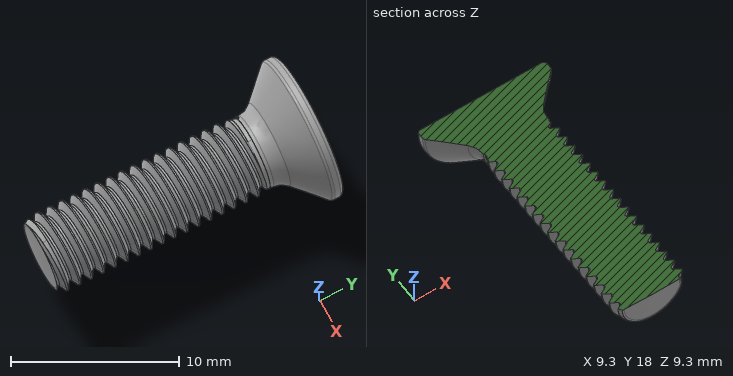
import cadquery as cq
import math


length = 18.0
head_diameter = 9.3
thread_diameter = 5.0

rim_height = 0.72
rim_fillet = 0.25
neck_diameter = 4.73
neck_fillet = 1.3

neck_end = 3.78
start_diameter = 4.66
taper_start = 4.05
taper_end = 4.59
tip_diameter = 4.4
tip_chamfer_angle = 30.0
tip_point_diameter = 4.1
tip_point_height = 0.04

pitch = 0.16 * thread_diameter
root_diameter = 4.05
flank_angle = 30.0
crest_flat = pitch / 8
cutter_overhang = 0.04
thread_turns = 18
groove_end = 4.23
runout_turns = 0.6
runout_lift = 0.3

head_radius = head_diameter / 2
neck_radius = neck_diameter / 2
start_radius = start_diameter / 2
thread_radius = thread_diameter / 2
tip_radius = tip_diameter / 2
tip_point_radius = tip_point_diameter / 2
root_radius = root_diameter / 2
thread_depth = thread_radius - root_radius
flank_slope = math.tan(math.radians(flank_angle))


def make_blank():
    """Revolved screw without thread: 45 degree head cone, neck, shank and chamfered tip."""
    cone_end = rim_height + head_radius - neck_radius
    tip_face = length - tip_point_height
    chamfer_height = (thread_radius - tip_radius) / math.tan(math.radians(tip_chamfer_angle))
    blank = (
        cq.Workplane("XZ")
        .moveTo(0, 0)
        .lineTo(head_radius, 0)
        .lineTo(head_radius, -rim_height)
        .lineTo(neck_radius, -cone_end)
        .lineTo(neck_radius, -neck_end)
        .lineTo(start_radius, -neck_end)
        .lineTo(start_radius, -taper_start)
        .lineTo(thread_radius, -taper_end)
        .lineTo(thread_radius, chamfer_height - tip_face)
        .lineTo(tip_radius, -tip_face)
        .lineTo(tip_point_radius, -tip_face)
        .lineTo(0, -length)
        .close()
        .revolve(360, (0, 0), (0, 1))
    )
    rim_edges = cq.selectors.RadiusNthSelector(-1)
    neck_corner = cq.selectors.BoxSelector(
        (-head_radius, -head_radius, -cone_end - 0.18),
        (head_radius, head_radius, -cone_end + 0.18),
        boundingbox=True,
    )
    blank = blank.edges(rim_edges).fillet(rim_fillet)
    blank = blank.edges(neck_corner).fillet(neck_fillet)
    return blank.val().rotate(cq.Vector(0, 0, 0), cq.Vector(0, 0, 1), -90)


def sweep_groove(helix):
    """Groove cutter that starts on +X at the groove end and follows the helix."""
    root_half = (pitch - crest_flat) / 2 - thread_depth * flank_slope
    outer_radius = thread_radius + cutter_overhang
    outer_half = root_half + (outer_radius - root_radius) * flank_slope
    profile = (
        cq.Workplane("XZ")
        .moveTo(root_radius, -groove_end - root_half)
        .lineTo(outer_radius, -groove_end - outer_half)
        .lineTo(outer_radius, -groove_end + outer_half)
        .lineTo(root_radius, -groove_end + root_half)
        .close()
    )
    return profile.sweep(cq.Workplane(obj=helix), isFrenet=True).val()


def make_groove_turns():
    """Full-depth groove as single turns, listed from the head end to past the tip."""
    helix = cq.Wire.makeHelix(pitch, pitch, root_radius, cq.Vector(0, 0, -groove_end))
    one_turn = sweep_groove(helix)
    return [one_turn.translate(cq.Vector(0, 0, -n * pitch)) for n in range(1, thread_turns + 1)]


def make_runout():
    """Continuation of the groove on a cone, so that it rises out of the shank."""
    height = runout_turns * pitch
    cone_angle = math.atan2(runout_lift, height)
    stretch = 1 / math.cos(cone_angle)
    helix = cq.Wire.makeHelix(
        pitch * stretch,
        height * stretch,
        root_radius,
        cq.Vector(0, 0, -groove_end),
        angle=math.degrees(cone_angle),
    )
    return sweep_groove(helix)


cutters = [make_runout()] + make_groove_turns()
screw = make_blank().cut(*cutters[0::2])
screw = screw.cut(*cutters[1::2])
result = cq.Workplane(obj=screw).rotate((0, 0, 0), (1, 0, 0), -90)